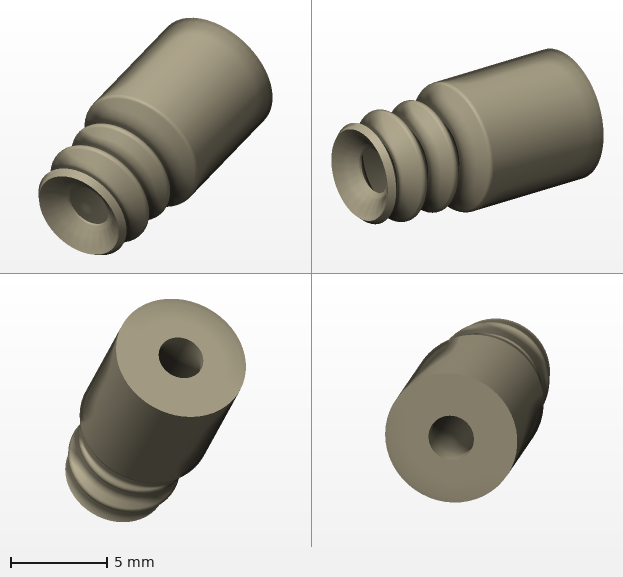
import cadquery as cq
import math


length = 13.2
body_radius = 3.5

fold_count = 2
fold_pitch = 2.02
first_valley_y = 1.0
valley_radius = 1.9
fold_radius = 3.01
fold_round = 0.22
flank_angle = 50.8

shoulder_angle = 29.0
shoulder_round = 0.22

lip_radius = 2.72
lip_edge_y = 0.34
rim_radius = 2.45
lip_cone_depth = 0.9
lip_cone_end_radius = 1.23

bore_radius = 1.2

half_pitch = fold_pitch / 2
last_valley_y = first_valley_y + fold_pitch * fold_count
flank = math.radians(flank_angle)
groove_radius = bore_radius + half_pitch * math.tan(flank)
shoulder_tilt = math.radians(shoulder_angle)
shoulder_y = last_valley_y + (body_radius - valley_radius) * math.tan(shoulder_tilt)


def fold_center(index):
    """Axial position of the middle of a fold."""
    return first_valley_y + half_pitch + index * fold_pitch


def add_fold(outline, y_center):
    """Continue the outer outline from one valley, over a rounded fold, to the next valley."""
    crest_center = fold_radius - fold_round
    tangent_radius = crest_center + fold_round * math.cos(flank)
    tangent_offset = fold_round * math.sin(flank)
    return (
        outline.lineTo(tangent_radius, y_center - tangent_offset)
        .threePointArc((fold_radius, y_center), (tangent_radius, y_center + tangent_offset))
        .lineTo(valley_radius, y_center + half_pitch)
    )


def add_shoulder(outline):
    """Continue the outer outline up the shoulder cone and round it into the body."""
    setback = shoulder_round * math.tan((math.pi / 2 - shoulder_tilt) / 2)
    cone_end = (
        body_radius - setback * math.cos(shoulder_tilt),
        shoulder_y - setback * math.sin(shoulder_tilt),
    )
    body_start = (body_radius, shoulder_y + setback)
    return outline.lineTo(*cone_end).tangentArcPoint(body_start, relative=False)


def add_inside(outline):
    """Run the inner outline back from the body end to the lip cone."""
    outline = outline.lineTo(bore_radius, length).lineTo(bore_radius, last_valley_y)
    for index in reversed(range(fold_count)):
        y_center = fold_center(index)
        outline = outline.lineTo(groove_radius, y_center)
        outline = outline.lineTo(bore_radius, y_center - half_pitch)
    return outline.lineTo(lip_cone_end_radius, lip_cone_depth)


def half_section():
    """Closed half section with X as radius and Y as axial position."""
    outline = (
        cq.Workplane("XY")
        .moveTo(rim_radius, 0)
        .lineTo(lip_radius, lip_edge_y)
        .lineTo(valley_radius, first_valley_y)
    )
    for index in range(fold_count):
        outline = add_fold(outline, fold_center(index))
    outline = add_shoulder(outline).lineTo(body_radius, length)
    return add_inside(outline).close()


result = half_section().revolve(360, (0, 0, 0), (0, 1, 0))